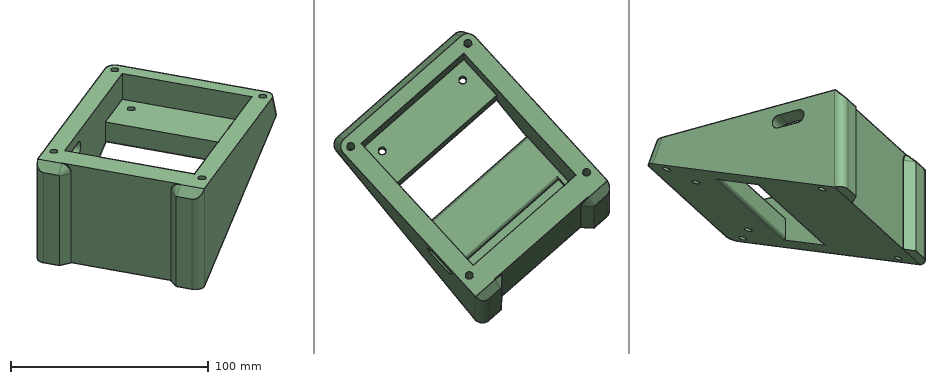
import cadquery as cq
import math

width = 90.0
length = 115.0
height = 57.0
post_depth = 5.0
rear_drop = 12.1
corner_radius = 5.0

screw_diameter = 3.9
screw_pitch_x = 80.0
screw_pitch_y = 90.0
screw_front_y = 10.0

window_width = 70.0
window_length = 85.1
window_front_y = 12.5

shelf_depth = 15.0
shelf_length = 25.1
shelf_hole_pitch = 55.0
shelf_hole_y = 90.0
floor_depth = 35.0
floor_length = 37.3
edge_radius = 1.0

recess_width = 65.0
recess_length = 10.4
recess_depth = 3.5

slot_length = 18.3
slot_height = 7.4
slot_y = 27.0
slot_depth = 9.4

post_width = 18.0
post_chamfer = 4.6

back_y = length - post_depth
underside_tilt = math.atan((height - rear_drop) / back_y)
back_top_y = back_y - rear_drop * math.tan(underside_tilt)
window_back_y = window_front_y + window_length
shelf_front_y = window_back_y - shelf_length
floor_back_y = window_front_y + floor_length
recess_back_y = window_front_y + recess_length


def block(x_size, y_start, y_end, z_bottom, z_top):
    """Box centred on X between the given Y and Z limits."""
    return (
        cq.Workplane("XY", origin=(0, (y_start + y_end) / 2, z_bottom))
        .box(x_size, y_end - y_start, z_top - z_bottom, centered=(True, True, False))
    )


def vertical_holes(points):
    """Screw holes that run from the rim level down through the whole part."""
    return cq.Workplane("XY").pushPoints(points).circle(screw_diameter / 2).extrude(-height)


def wedge():
    """Body with a sloping underside and a back wall square to that slope."""
    profile = [(0, 0), (back_top_y, 0), (back_y, -rear_drop), (0, -height)]
    solid = cq.Workplane("YZ").polyline(profile).close().extrude(width / 2, both=True)
    return solid.faces(">Y").edges("not |X").fillet(corner_radius)


def left_post():
    """Upright strip with a rounded inner top corner, chamfered round its top and inner side."""
    slab = (
        cq.Workplane("XY", origin=(-width / 2, 0, 0))
        .box(post_width, post_depth, height, centered=False)
        .translate((0, -post_depth, -height))
    )
    slab = slab.edges("|Y and >X and >Z").fillet(corner_radius)
    return slab.faces("<Y").edges(">Z").chamfer(post_chamfer)


def inner_cavity():
    """Window volume that leaves the rear shelf and the front floor standing."""
    upper = block(window_width, window_front_y, window_back_y, -shelf_depth, 0)
    middle = block(window_width, window_front_y, shelf_front_y, -floor_depth, 0)
    opening = block(window_width, floor_back_y, shelf_front_y, -height, 0)
    return upper.union(middle).union(opening)


def floor_recess():
    """Shallow pocket at the front of the floor."""
    return block(recess_width, window_front_y, recess_back_y, -floor_depth - recess_depth, -floor_depth)


def side_slot():
    """Round-ended slot from the left side into the window."""
    wall = (width - window_width) / 2
    return (
        cq.Workplane("YZ", origin=(-width / 2, slot_y, -slot_depth))
        .slot2D(slot_length, slot_height)
        .extrude(wall)
    )


def edge_near(y, z):
    """Selector for the edge along X whose middle is closest to the given Y and Z."""
    return cq.selectors.NearestToPointSelector((0, y, z))


def underside_z(y):
    """Height of the sloping underside at the given Y."""
    return -height + y * math.tan(underside_tilt)


body = wedge()
post = left_post()
body = body.union(post).union(post.mirror("YZ"))
for outer_side in ("<X", ">X"):
    body = body.faces(outer_side).edges("|Z").edges("<Y").fillet(corner_radius)

body = body.cut(inner_cavity()).cut(floor_recess()).cut(side_slot())

rounded_edges = [
    (floor_back_y, -floor_depth),
    (recess_back_y, -floor_depth),
    (shelf_front_y, underside_z(shelf_front_y)),
]
for edge_y, edge_z in rounded_edges:
    body = body.edges("|X").edges(edge_near(edge_y, edge_z)).fillet(edge_radius)

rim_holes = [
    (side * screw_pitch_x / 2, y)
    for side in (-1, 1)
    for y in (screw_front_y, screw_front_y + screw_pitch_y)
]
shelf_holes = [(side * shelf_hole_pitch / 2, shelf_hole_y) for side in (-1, 1)]
result = body.cut(vertical_holes(rim_holes + shelf_holes))